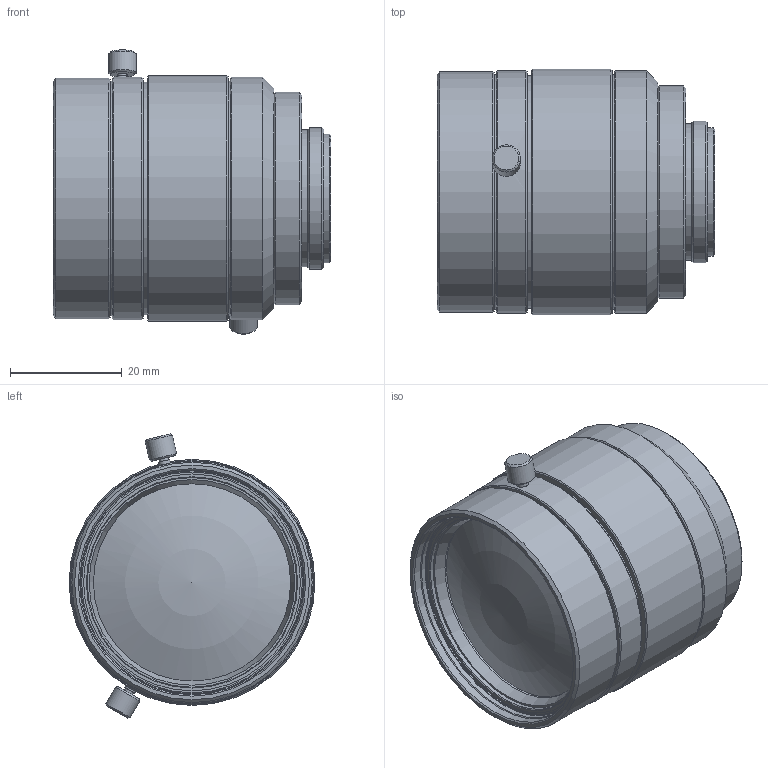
import cadquery as cq
import math


barrel_radius = 22.0
barrel_length = 49.7

front_ring_radius = 21.5
front_ring_end = 10.2
front_chamfer = 0.5

focus_ring_radius = 21.7
focus_ring_start = 10.6
focus_ring_end = 16.1

sleeve_start = 16.9
sleeve_end = 31.3
sleeve_gap_radius = 20.8
groove_radius = 21.0
edge_chamfer = 0.2

iris_ring_radius = 21.7
iris_ring_start = 31.7
iris_ring_end = 39.5
iris_taper = 2.05

rear_cap_radius = 19.0
rear_cap_end = 44.5
rear_chamfer = 0.5
mount_neck_radius = 12.25
flange_radius = 12.7
flange_start = 45.6
flange_end = 48.4
flange_chamfer = 0.3
tail_radius = 11.5
tail_chamfer = 0.3

mouth_radius = 20.1
mouth_chamfer = 0.25
mouth_depth = 1.7
inner_bore_radius = 19.95
seat_depth = 2.75
seat_inner_radius = 18.75
seat_chamfer = 0.15
seat_groove_outer = 19.75
seat_groove_inner = 19.4
seat_groove_depth = 0.2
collar_depth = 3.6
cone_start_radius = 18.4
cone_end_depth = 5.5
glass_radius = 17.65
glass_edge_depth = 5.85
glass_rise = 3.5

knob_radius = 2.5
knob_height = 4.0
knob_tip_distance = 26.77
knob_chamfer = 0.3
knob_neck_radius = 0.85
stem_radius = 1.05
stem_root_distance = 20.0
stem_top_distance = 22.3
upper_screw_station = 12.4
upper_screw_angle = 13.0
lower_screw_station = 34.05
lower_screw_angle = 150.0


def ring_profile(start, end, radius, start_chamfer, end_chamfer):
    """Outline points (x, r) of one ring with a bevel at each end."""
    return [
        (start, radius - start_chamfer),
        (start + start_chamfer, radius),
        (end - end_chamfer, radius),
        (end, radius - end_chamfer),
    ]


def groove_floor(start, end, radius):
    """Outline points (x, r) of the plain cylinder between two rings."""
    return [(start, radius), (end, radius)]


def revolve_about_x(profile):
    """Turn a half profile in the XY plane a full circle about the lens axis."""
    return profile.close().revolve(360, (0, 0, 0), (1, 0, 0))


def make_barrel():
    """Solid turned body: rings, grooves between them, rear cap and mount."""
    outline = [(0, 0)]
    outline += ring_profile(0, front_ring_end, front_ring_radius, front_chamfer, edge_chamfer)
    outline += groove_floor(front_ring_end, focus_ring_start, groove_radius)
    outline += ring_profile(focus_ring_start, focus_ring_end, focus_ring_radius, edge_chamfer, edge_chamfer)
    outline += groove_floor(focus_ring_end, sleeve_start, sleeve_gap_radius)
    outline += ring_profile(sleeve_start, sleeve_end, barrel_radius, edge_chamfer, edge_chamfer)
    outline += groove_floor(sleeve_end, iris_ring_start, groove_radius)
    outline += ring_profile(iris_ring_start, iris_ring_end, iris_ring_radius, edge_chamfer, iris_taper)
    outline += ring_profile(iris_ring_end, rear_cap_end, rear_cap_radius, edge_chamfer, rear_chamfer)
    outline += groove_floor(rear_cap_end, flange_start, mount_neck_radius)
    outline += ring_profile(flange_start, flange_end, flange_radius, flange_chamfer, flange_chamfer)
    outline += [
        (flange_end, tail_radius),
        (barrel_length - tail_chamfer, tail_radius),
        (barrel_length, tail_radius - tail_chamfer),
        (barrel_length, 0),
    ]
    return revolve_about_x(cq.Workplane("XY").polyline(outline))


def make_front_opening():
    """Stepped bore in front of the domed glass, with a fine groove in its seat."""
    step_slope = mouth_radius - inner_bore_radius
    wall = [
        (0, 0),
        (0, mouth_radius + mouth_chamfer),
        (mouth_chamfer, mouth_radius),
        (mouth_depth, mouth_radius),
        (mouth_depth + step_slope, inner_bore_radius),
        (seat_depth, inner_bore_radius),
        (seat_depth, seat_groove_outer),
        (seat_depth + seat_groove_depth, seat_groove_outer),
        (seat_depth + seat_groove_depth, seat_groove_inner),
        (seat_depth, seat_groove_inner),
        (seat_depth, seat_inner_radius + seat_chamfer),
        (seat_depth + seat_chamfer, seat_inner_radius),
        (collar_depth, seat_inner_radius),
        (collar_depth, cone_start_radius),
        (cone_end_depth, glass_radius),
        (glass_edge_depth, glass_radius),
    ]
    sphere_radius = (glass_radius**2 + glass_rise**2) / (2 * glass_rise)
    apex_depth = glass_edge_depth - glass_rise
    mid_radius = glass_radius / 2
    mid_depth = apex_depth + sphere_radius - math.sqrt(sphere_radius**2 - mid_radius**2)
    profile = cq.Workplane("XY").polyline(wall)
    profile = profile.threePointArc((mid_depth, mid_radius), (apex_depth, 0))
    return revolve_about_x(profile)


def make_thumb_screw(station, angle):
    """Radial screw at an X station, turned by angle (degrees) from +Z toward +Y."""
    knob_base = knob_tip_distance - knob_height
    knob = (
        cq.Workplane("XY", origin=(station, 0, knob_base))
        .circle(knob_radius)
        .extrude(knob_height)
        .edges("%CIRCLE")
        .chamfer(knob_chamfer)
    )
    stem = (
        cq.Workplane("XY", origin=(station, 0, stem_root_distance))
        .circle(stem_radius)
        .extrude(stem_top_distance - stem_root_distance)
    )
    neck = (
        cq.Workplane("XY", origin=(station, 0, stem_top_distance))
        .circle(knob_neck_radius)
        .extrude(knob_base - stem_top_distance)
    )
    return stem.union(neck).union(knob).rotate((0, 0, 0), (1, 0, 0), -angle)


result = (
    make_barrel()
    .cut(make_front_opening())
    .union(make_thumb_screw(upper_screw_station, upper_screw_angle))
    .union(make_thumb_screw(lower_screw_station, lower_screw_angle))
)